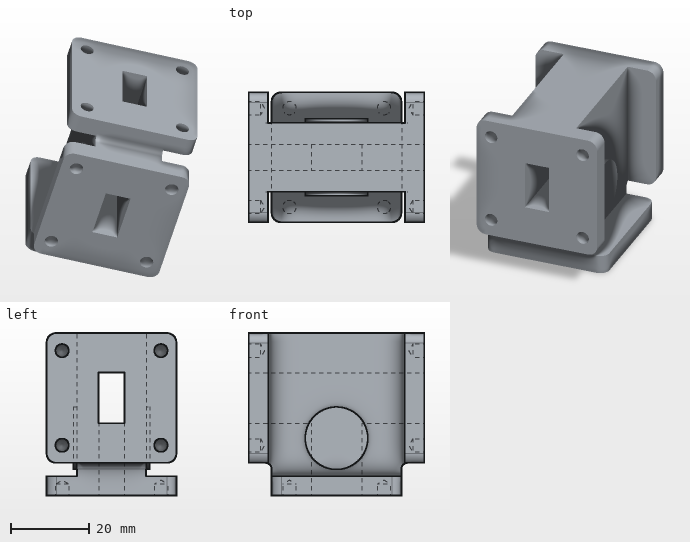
import cadquery as cq
import math

length = 45.0
height = 41.65
flange_size = 33.3
flange_thickness = 5.0
flange_corner_radius = 2.5

body_depth = 17.7
neck_fillet_radius = 1.5

cover_diameter = 16.0
cover_projection = 1.0
cover_center_z = 14.7

guide_narrow = 6.55
guide_wide = 12.9

hole_diameter = 3.4
hole_depth = 3.0
drill_tip_angle = 118.0
hole_spacing_y = 25.3
hole_spacing_across = 24.2

side_flange_bottom = height - flange_size
side_axis_z = side_flange_bottom + flange_size / 2
inner_length = length - 2 * flange_thickness

side_ports = [
    cq.Plane(origin=(side * length / 2, 0, side_axis_z), xDir=(0, 1, 0), normal=(side, 0, 0))
    for side in (-1, 1)
]
base_port = cq.Plane(origin=(0, 0, 0), xDir=(0, 1, 0), normal=(0, 0, -1))
ports = side_ports + [base_port]


def flange(port):
    corner_edges = cq.selectors.ParallelDirSelector(port.zDir)
    plate = cq.Workplane(port).rect(flange_size, flange_size).extrude(-flange_thickness)
    return plate.edges(corner_edges).fillet(flange_corner_radius)


def body():
    block = (
        cq.Workplane("XY", origin=(0, 0, side_flange_bottom))
        .rect(inner_length, body_depth)
        .extrude(flange_size)
    )
    neck = cq.Workplane("XY").rect(flange_size, body_depth).extrude(height)
    return block.union(neck)


def neck_fillet(side):
    """Concave fillet between the neck and the underside of a side flange."""
    r = neck_fillet_radius
    neck_x = side * flange_size / 2
    outer_x = neck_x + side * r
    arc_middle = r * (1 - math.sqrt(0.5))
    return (
        cq.Workplane("XZ")
        .moveTo(neck_x, side_flange_bottom)
        .lineTo(outer_x, side_flange_bottom)
        .threePointArc(
            (neck_x + side * arc_middle, side_flange_bottom - arc_middle),
            (neck_x, side_flange_bottom - r),
        )
        .close()
        .extrude(body_depth / 2, both=True)
    )


def covers():
    cover_span = body_depth + 2 * cover_projection
    return (
        cq.Workplane("XZ")
        .center(0, cover_center_z)
        .circle(cover_diameter / 2)
        .extrude(cover_span / 2, both=True)
    )


def flange_holes(port):
    radius = hole_diameter / 2
    tip_depth = radius / math.tan(math.radians(drill_tip_angle / 2))
    drill = (
        cq.Workplane("XZ")
        .polyline([(0, 0), (radius, 0), (radius, -hole_depth), (0, -hole_depth - tip_depth)])
        .close()
        .revolve(360, (0, 0, 0), (0, 1, 0))
        .val()
    )
    return (
        cq.Workplane(port)
        .rarray(hole_spacing_y, hole_spacing_across, 2, 2)
        .eachpoint(lambda place: drill.moved(place), useLocalCoordinates=True)
    )


def guide(port, depth):
    return cq.Workplane(port).rect(guide_narrow, guide_wide).extrude(-depth)


result = body().union(covers())
for side in (-1, 1):
    result = result.union(neck_fillet(side))
for port in ports:
    result = result.union(flange(port))
for port in ports:
    result = result.cut(flange_holes(port))

result = result.cut(guide(side_ports[0], length))
result = result.cut(guide(base_port, side_axis_z))